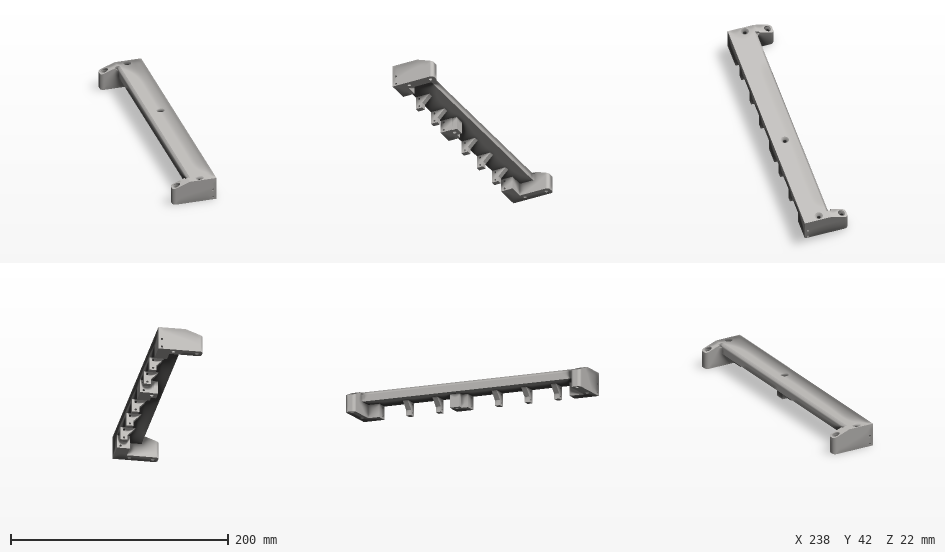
import cadquery as cq
import math

LENGTH = 238.0
HEIGHT = 22.0
LEG_REACH = 42.0
PLATE_DEPTH = 25.5
PLATE_UNDERSIDE = 12.5

LEG_WIDTH = 9.8
LEG_FRONT_HEIGHT = 16.0
LEG_CORNER_RADIUS = 3.0
INNER_CORNER_RADIUS = 2.1

SHALLOW_FACET_DEPTH = 1.0
SHALLOW_FACET_DROP = 0.7
STEEP_FACET = 0.7
ROUNDING_RADIUS = 2.1
EDGE_INSET = 8.0

BLOCK_DEPTH = 12.0
LEFT_BLOCK_WIDTH = 21.0
RIGHT_BLOCK_WIDTH = 24.3
MIDDLE_BLOCK_WIDTH = 16.7
RIB_WIDTH = 5.0
RIB_PITCH = 30.0
FIRST_RIB_X = 48.3
RIB_SLOTS = (0, 1, 3, 4, 5)
MIDDLE_SLOT = 2
RIB_FOOT_DEPTH = 6.7
RIB_FOOT_HEIGHT = 5.0

HEAD_CLEARANCE = 2.4
SCREW_DIAMETER = 3.3
SCREW_HEAD_DIAMETER = 7.5
LEG_SCREW_HEAD_DIAMETER = 6.7
LEG_SCREW_SEAT = 16.5
LEG_SCREW_Y = -LEG_REACH + LEG_WIDTH / 2
END_SCREW_Y = -15.0
MIDDLE_SCREW_X = 99.7
MIDDLE_SCREW_Y = -12.0
END_SCREW_XS = (LEG_WIDTH / 2, LENGTH - LEG_WIDTH / 2)

ROD_DIAMETER = 2.1
ROD_Y = -3.3
ROD_HEIGHTS = (2.1, 10.0)


def box_behind(x, width, depth, bottom, top):
    """Box whose back lies in the rear plane, starting at x."""
    return cq.Workplane("XY").box(width, depth, top - bottom, centered=False).translate((x, -depth, bottom))


def side_prism(points, x, width):
    """Prism along X from an outline of (y, z) points."""
    return cq.Workplane("YZ").polyline(points).close().extrude(width).translate((x, 0, 0))


def leg(x):
    """Full-height end wall whose front part slopes down to two rounded corners."""
    outline = [
        (0, 0),
        (0, HEIGHT),
        (-PLATE_DEPTH, HEIGHT),
        (-LEG_REACH, LEG_FRONT_HEIGHT),
        (-LEG_REACH, 0),
    ]
    wall = side_prism(outline, x, LEG_WIDTH)
    footprint = box_behind(x, LEG_WIDTH, LEG_REACH, 0, HEIGHT)
    return wall.intersect(footprint.edges("|Z and <Y").fillet(LEG_CORNER_RADIUS))


def inner_corner(x, direction):
    """Concave rounding between a leg and the plate front; direction points away from the leg."""
    r = INNER_CORNER_RADIUS
    arc_middle = r * (1 - math.sqrt(0.5))
    return (
        cq.Workplane("XY", origin=(x, -PLATE_DEPTH, PLATE_UNDERSIDE))
        .lineTo(direction * r, 0)
        .threePointArc((direction * arc_middle, -arc_middle), (0, -r))
        .close()
        .extrude(HEIGHT - PLATE_UNDERSIDE)
    )


def front_edge_cut():
    """Material removed above the facets and the rounding of the front top edge."""
    arc_angle = math.radians(45)
    half_angle = arc_angle / 2
    arc_depth = ROUNDING_RADIUS * (1 - math.cos(arc_angle))
    arc_drop = ROUNDING_RADIUS * math.sin(arc_angle)
    arc_start_y = -PLATE_DEPTH + arc_depth
    facet_meeting = (arc_start_y + STEEP_FACET, HEIGHT - SHALLOW_FACET_DROP)
    arc_start_z = HEIGHT - SHALLOW_FACET_DROP - STEEP_FACET
    arc_end_z = arc_start_z - arc_drop
    arc_middle = (
        -PLATE_DEPTH + ROUNDING_RADIUS * (1 - math.cos(half_angle)),
        arc_end_z + ROUNDING_RADIUS * math.sin(half_angle),
    )
    front = -PLATE_DEPTH - INNER_CORNER_RADIUS
    return (
        cq.Workplane("YZ", origin=(EDGE_INSET, 0, 0))
        .moveTo(arc_start_y + STEEP_FACET + SHALLOW_FACET_DEPTH, HEIGHT)
        .lineTo(*facet_meeting)
        .lineTo(arc_start_y, arc_start_z)
        .threePointArc(arc_middle, (-PLATE_DEPTH, arc_end_z))
        .lineTo(front, arc_end_z)
        .lineTo(front, HEIGHT)
        .close()
        .extrude(LENGTH - 2 * EDGE_INSET)
    )


def rib(center_x):
    """Rib with an upright foot and a 45 degree overhang below the plate."""
    overhang = PLATE_UNDERSIDE - RIB_FOOT_HEIGHT
    outline = [
        (0, 0),
        (0, PLATE_UNDERSIDE),
        (-RIB_FOOT_DEPTH - overhang, PLATE_UNDERSIDE),
        (-RIB_FOOT_DEPTH, RIB_FOOT_HEIGHT),
        (-RIB_FOOT_DEPTH, 0),
    ]
    return side_prism(outline, center_x - RIB_WIDTH / 2, RIB_WIDTH)


def screw_hole(x, y, seat, head_diameter):
    """Through hole with a 90 degree countersink at seat height and clearance above it."""
    cone_depth = (head_diameter - SCREW_DIAMETER) / 2
    profile = [
        (0, 0),
        (SCREW_DIAMETER / 2, 0),
        (SCREW_DIAMETER / 2, seat - cone_depth),
        (head_diameter / 2, seat),
        (head_diameter / 2, HEIGHT + HEAD_CLEARANCE),
        (0, HEIGHT + HEAD_CLEARANCE),
    ]
    hole = cq.Workplane("XZ").polyline(profile).close().revolve(360, (0, 0, 0), (0, 1, 0))
    return hole.translate((x, y, 0))


body = box_behind(0, LENGTH, PLATE_DEPTH, PLATE_UNDERSIDE, HEIGHT)
body = body.union(leg(0)).union(leg(LENGTH - LEG_WIDTH))
body = body.union(inner_corner(LEG_WIDTH, 1))
body = body.union(inner_corner(LENGTH - LEG_WIDTH, -1))
body = body.cut(front_edge_cut())

middle_block_end = FIRST_RIB_X + MIDDLE_SLOT * RIB_PITCH + RIB_WIDTH / 2
blocks = (
    (0, LEFT_BLOCK_WIDTH),
    (middle_block_end - MIDDLE_BLOCK_WIDTH, MIDDLE_BLOCK_WIDTH),
    (LENGTH - RIGHT_BLOCK_WIDTH, RIGHT_BLOCK_WIDTH),
)
for block_x, block_width in blocks:
    body = body.union(box_behind(block_x, block_width, BLOCK_DEPTH, 0, PLATE_UNDERSIDE))

boss_depth = LEG_WIDTH / 2 - MIDDLE_SCREW_Y
body = body.union(box_behind(MIDDLE_SCREW_X - LEG_WIDTH / 2, LEG_WIDTH, boss_depth, 0, PLATE_UNDERSIDE))

for slot in RIB_SLOTS:
    body = body.union(rib(FIRST_RIB_X + slot * RIB_PITCH))

for screw_x in END_SCREW_XS:
    body = body.cut(screw_hole(screw_x, END_SCREW_Y, HEIGHT, SCREW_HEAD_DIAMETER))
    body = body.cut(screw_hole(screw_x, LEG_SCREW_Y, LEG_SCREW_SEAT, LEG_SCREW_HEAD_DIAMETER))
body = body.cut(screw_hole(MIDDLE_SCREW_X, MIDDLE_SCREW_Y, HEIGHT, SCREW_HEAD_DIAMETER))

for rod_z in ROD_HEIGHTS:
    rod = cq.Workplane("YZ").center(ROD_Y, rod_z).circle(ROD_DIAMETER / 2).extrude(LENGTH)
    body = body.cut(rod)

result = body